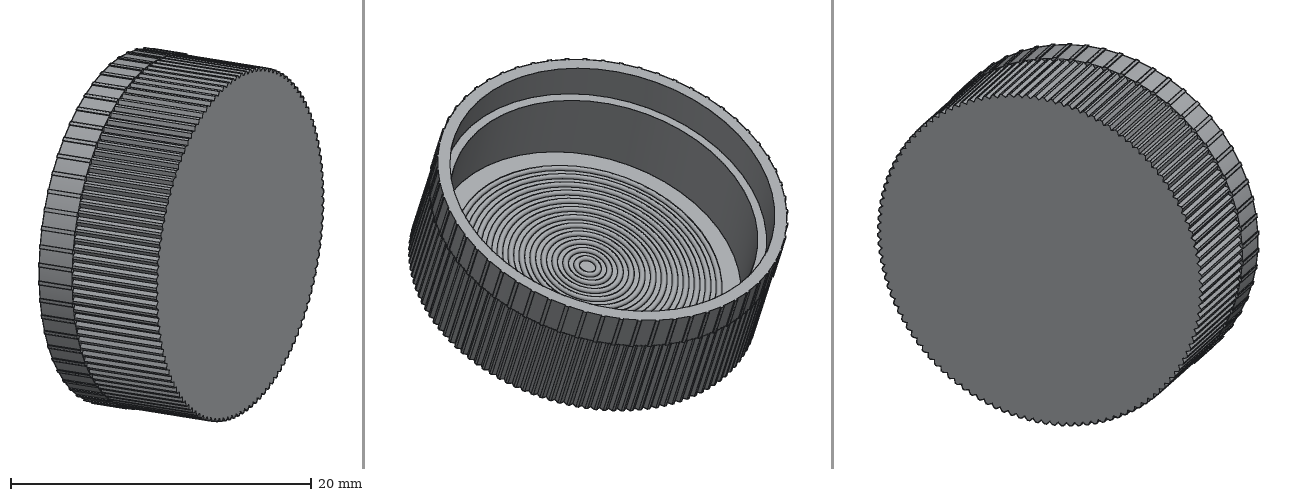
import cadquery as cq
import math

OUTER_SIZE = 23.98
LENGTH = 8.85

BAND_LENGTH = 2.5
BAND_RADIUS = 11.92
RIDGE_COUNT = 60
RIDGE_WIDTH = 0.26

TOOTH_COUNT = 120
TOOTH_TIP_RADIUS = 11.92
TOOTH_DEPTH = 0.228
TOOTH_TIP_WIDTH = 0.17
TOOTH_PHASE = 1.95

MOUTH_RADIUS = 22.2 / 2
MOUTH_DEPTH = 2.5
BORE_RADIUS = 21.0 / 2
BORE_DEPTH = 7.5

RING_COUNT = 12
LAST_RING_RADIUS = 9.0
RING_SECTION_RADIUS = 0.2

RING_PITCH = LAST_RING_RADIUS / RING_COUNT
RIDGE_PITCH_ANGLE = 2 * math.pi / RIDGE_COUNT
TOOTH_PITCH_ANGLE = 2 * math.pi / TOOTH_COUNT


def polar(radius, angle):
    return (radius * math.cos(angle), radius * math.sin(angle))


def disk(length, radius):
    """Cylinder running inward from the open rim."""
    return cq.Workplane("YZ").circle(radius).extrude(length)


def rim_band():
    """Plain band whose ridges sit half a pitch off the Y and Z axes."""
    half_angle = RIDGE_WIDTH / OUTER_SIZE
    tip_radius = OUTER_SIZE / 2 / math.cos(RIDGE_PITCH_ANGLE / 2 - half_angle)
    outline = cq.Workplane("YZ").moveTo(*polar(BAND_RADIUS, RIDGE_PITCH_ANGLE / 2 - half_angle))
    for i in range(RIDGE_COUNT):
        middle = (i + 0.5) * RIDGE_PITCH_ANGLE
        outline = outline.lineTo(*polar(tip_radius, middle - half_angle))
        outline = outline.threePointArc(polar(tip_radius, middle), polar(tip_radius, middle + half_angle))
        outline = outline.lineTo(*polar(BAND_RADIUS, middle + half_angle))
        outline = outline.threePointArc(
            polar(BAND_RADIUS, middle + RIDGE_PITCH_ANGLE / 2),
            polar(BAND_RADIUS, middle + RIDGE_PITCH_ANGLE - half_angle),
        )
    return outline.close().extrude(BAND_LENGTH)


def knurled_grip():
    """Flat-tipped teeth separated by V grooves."""
    half_tip = TOOTH_TIP_WIDTH / 2 / TOOTH_TIP_RADIUS
    points = []
    for i in range(TOOTH_COUNT):
        middle = i * TOOTH_PITCH_ANGLE + math.radians(TOOTH_PHASE)
        points.append(polar(TOOTH_TIP_RADIUS, middle - half_tip))
        points.append(polar(TOOTH_TIP_RADIUS, middle + half_tip))
        points.append(polar(TOOTH_TIP_RADIUS - TOOTH_DEPTH, middle + TOOTH_PITCH_ANGLE / 2))
    plane = cq.Workplane("YZ", origin=(BAND_LENGTH, 0, 0))
    return plane.polyline(points).close().extrude(LENGTH - BAND_LENGTH)


def floor_ring(radius):
    """Torus centred on the cavity floor, so that half of it stands proud."""
    section = cq.Workplane("XY").moveTo(BORE_DEPTH, radius).circle(RING_SECTION_RADIUS)
    return section.revolve(360, (0, 0, 0), (1, 0, 0))


def cavity():
    """Stepped bore with the raised rings left out of the cut."""
    space = disk(MOUTH_DEPTH, MOUTH_RADIUS).union(disk(BORE_DEPTH, BORE_RADIUS))
    for i in range(RING_COUNT):
        space = space.cut(floor_ring((i + 1) * RING_PITCH))
    return space


result = rim_band().union(knurled_grip()).cut(cavity())